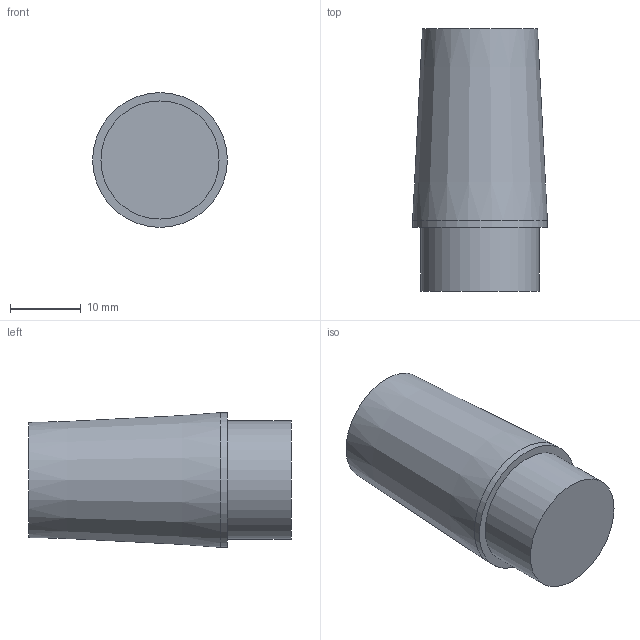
import cadquery as cq

spigot_diameter = 16.66
collar_diameter = 19.0
tip_diameter = 16.2
spigot_length = 9.0
collar_length = 1.0
taper_length = 27.0

collar_start = spigot_length
taper_start = collar_start + collar_length
tip_end = taper_start + taper_length


def turned_body():
    """Revolve the half profile: spigot, collar, then a long taper to the tip."""
    half_profile = (
        cq.Workplane("XY")
        .moveTo(0, 0)
        .lineTo(spigot_diameter / 2, 0)
        .lineTo(spigot_diameter / 2, collar_start)
        .lineTo(collar_diameter / 2, collar_start)
        .lineTo(collar_diameter / 2, taper_start)
        .lineTo(tip_diameter / 2, tip_end)
        .lineTo(0, tip_end)
        .close()
    )
    return half_profile.revolve(360, (0, 0, 0), (0, 1, 0))


result = turned_body()